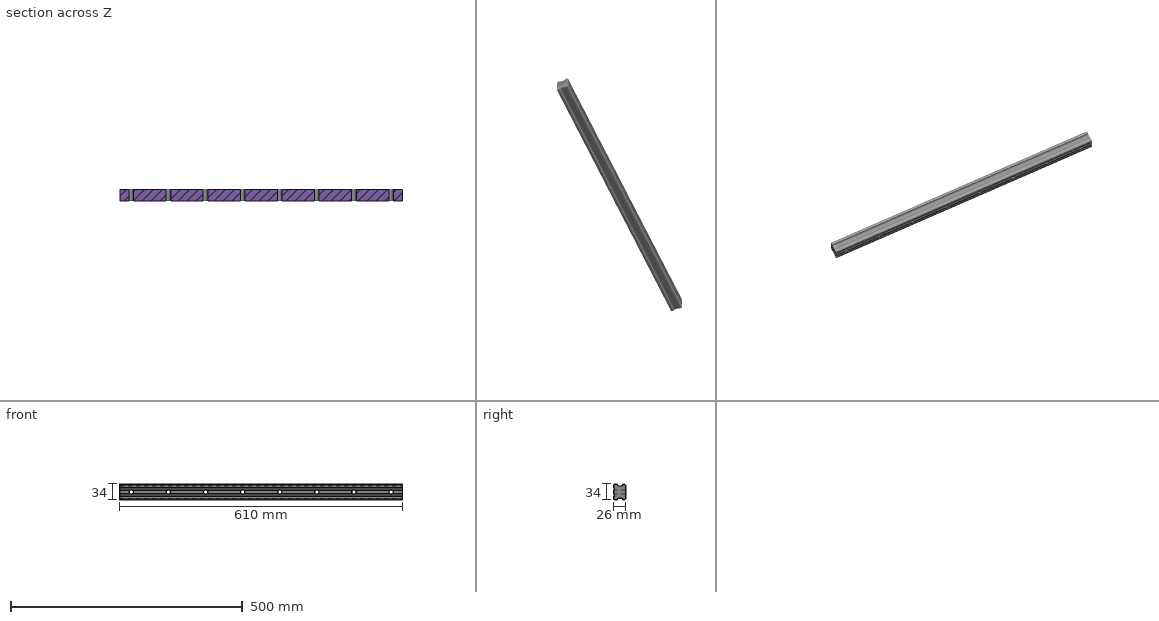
import cadquery as cq

LENGTH = 610.0
WIDTH = 26.0
HEIGHT = 34.0

BACK_CHAMFER = 3.0
FRONT_CHAMFER = 1.5

SIDE_GROOVE_DEPTH = 3.5
ROUND_WALL_Y = 6.75
RAMP_FOOT_Y = -2.7

FACE_GROOVE_DEPTH = 1.0
FACE_GROOVE_CENTER = 6.4
FACE_GROOVE_WIDTH = 6.0
FACE_GROOVE_FLOOR = 4.8

HOLE_DIAMETER = 9.0
HOLE_COUNT = 8
HOLE_PITCH = 80.0

BACK_Y = WIDTH / 2
FRONT_Y = -WIDTH / 2
TOP_Z = HEIGHT / 2


def upper_half():
    """Half of the rail above Z = 0, its section drawn from the front face round to the back face."""
    face_floor_y = FRONT_Y + FACE_GROOVE_DEPTH
    side_floor_z = TOP_Z - SIDE_GROOVE_DEPTH
    wall_radius = SIDE_GROOVE_DEPTH
    section = (
        cq.Workplane("YZ")
        .moveTo(FRONT_Y, 0)
        .lineTo(FRONT_Y, FACE_GROOVE_CENTER - FACE_GROOVE_WIDTH / 2)
        .lineTo(face_floor_y, FACE_GROOVE_CENTER - FACE_GROOVE_FLOOR / 2)
        .lineTo(face_floor_y, FACE_GROOVE_CENTER + FACE_GROOVE_FLOOR / 2)
        .lineTo(FRONT_Y, FACE_GROOVE_CENTER + FACE_GROOVE_WIDTH / 2)
        .lineTo(FRONT_Y, TOP_Z - FRONT_CHAMFER)
        .lineTo(FRONT_Y + FRONT_CHAMFER, TOP_Z)
        .lineTo(RAMP_FOOT_Y - SIDE_GROOVE_DEPTH, TOP_Z)
        .lineTo(RAMP_FOOT_Y, side_floor_z)
        .lineTo(ROUND_WALL_Y - wall_radius, side_floor_z)
        .tangentArcPoint((ROUND_WALL_Y, TOP_Z), relative=False)
        .lineTo(BACK_Y - BACK_CHAMFER, TOP_Z)
        .lineTo(BACK_Y, TOP_Z - BACK_CHAMFER)
        .lineTo(BACK_Y, 0)
        .close()
    )
    return section.extrude(LENGTH / 2, both=True)


def rail_body():
    """Full rail: the upper half joined to its mirror image, with the seam removed."""
    upper = upper_half()
    return upper.union(upper.mirror("XY")).clean()


def mounting_holes():
    """Evenly spaced cylinders crossing the full width along Y."""
    return (
        cq.Workplane("XZ")
        .rarray(HOLE_PITCH, 1, HOLE_COUNT, 1)
        .circle(HOLE_DIAMETER / 2)
        .extrude(WIDTH, both=True)
    )


result = rail_body().cut(mounting_holes())